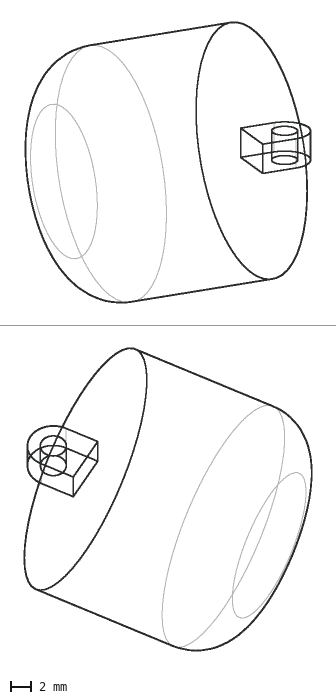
import cadquery as cq

total_length = 26.0
body_diameter = 25.0
body_length = 20.0
nose_radius = 5.0
lug_width = 5.0
lug_thickness = 3.0
lug_hole_diameter = lug_width / 2

lug_radius = lug_width / 2
lug_eye_y = total_length - lug_radius
lug_root_y = body_length - lug_thickness / 2


def make_body():
    """Cylinder along Y with its front (-Y) edge rounded."""
    cylinder = cq.Workplane("XZ").circle(body_diameter / 2).extrude(-body_length)
    return cylinder.faces("<Y").edges().fillet(nose_radius)


def make_lug():
    """Round-ended flat tab with an eye concentric with its tip."""
    tab = (
        cq.Workplane("XY")
        .moveTo(-lug_radius, lug_root_y)
        .lineTo(lug_radius, lug_root_y)
        .lineTo(lug_radius, lug_eye_y)
        .threePointArc((0, total_length), (-lug_radius, lug_eye_y))
        .close()
        .extrude(lug_thickness / 2, both=True)
    )
    eye = (
        cq.Workplane("XY")
        .center(0, lug_eye_y)
        .circle(lug_hole_diameter / 2)
        .extrude(lug_thickness, both=True)
    )
    return tab.cut(eye)


result = make_body().union(make_lug())